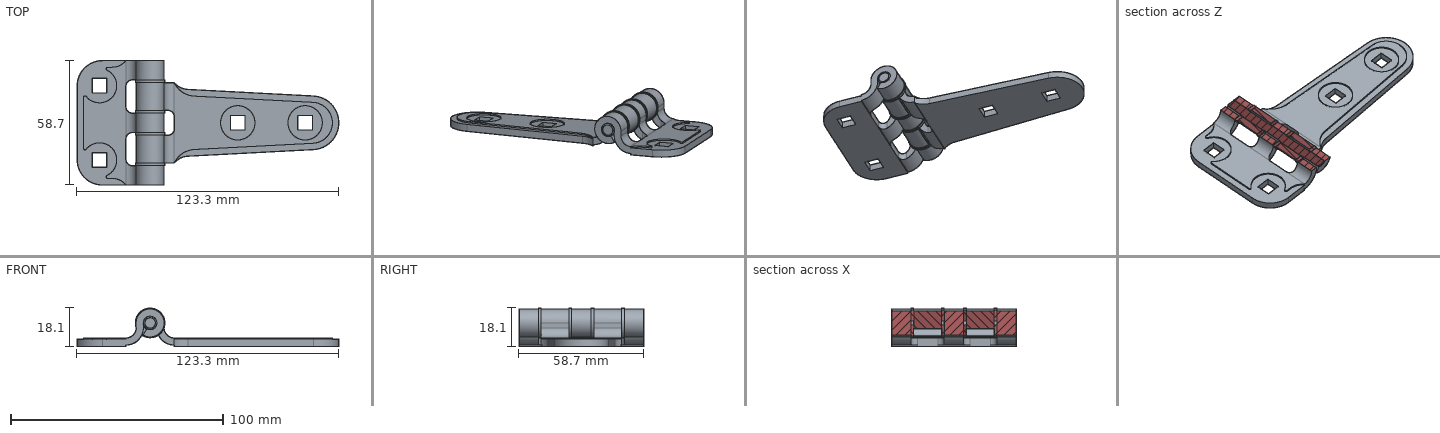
import cadquery as cq
import math


PLATE_THICKNESS = 3.43
PAD_HEIGHT = 0.635
PAD_TOP = PLATE_THICKNESS + PAD_HEIGHT
PIN_DIAMETER = 6.35
PIN_EDGE_CHAMFER = 0.7
PIN_RADIUS = PIN_DIAMETER / 2
BARREL_RADIUS = PIN_RADIUS + PLATE_THICKNESS
WASHER_BORE_DIAMETER = 6.6
WASHER_DIAMETER = 13.99
OVERALL_HEIGHT = 18.1
HINGE_HEIGHT = OVERALL_HEIGHT - WASHER_DIAMETER / 2

BEND_INNER_RADIUS = 4.76
BEND_OUTER_RADIUS = BEND_INNER_RADIUS + PLATE_THICKNESS
BEND_CENTER_Z = PAD_TOP + BEND_INNER_RADIUS
BEND_X = BARREL_RADIUS + BEND_INNER_RADIUS
CURL_START_ANGLE = 180
CURL_SWEEP = 300

OVERALL_WIDTH = 58.72
HALF_WIDTH = OVERALL_WIDTH / 2
WASHER_THICKNESS = 1.24
LEAF_KNUCKLE_LENGTH = 9.18
LEAF_MIDDLE_END = LEAF_KNUCKLE_LENGTH / 2
STRAP_INNER_END = LEAF_MIDDLE_END + WASHER_THICKNESS
LEAF_OUTER_START = HALF_WIDTH - LEAF_KNUCKLE_LENGTH
STRAP_OUTER_END = LEAF_OUTER_START - WASHER_THICKNESS
SLOT_CORNER_RADIUS = 3.0

SQUARE_HOLE = 6.75
SEAT_DIAMETER = 16.18
SEAT_RADIUS = SEAT_DIAMETER / 2

LEAF_LENGTH = 23.05
LEAF_END_X = -BEND_X - LEAF_LENGTH
LEAF_CORNER_RADIUS = 12.0
LEAF_HOLE_FROM_END = 10.6
LEAF_HOLE_X = LEAF_END_X + LEAF_HOLE_FROM_END
LEAF_HOLE_Y = 17.5
LEAF_PAD_INSET = 3.1
LEAF_PAD_SIDE_INSET = 3.2
LEAF_PAD_TIP_FROM_END = 13.75
LEAF_PAD_TIP_X = LEAF_END_X + LEAF_PAD_TIP_FROM_END
LEAF_PAD_FLARE_LENGTH = 6.5
LEAF_PAD_TIP_RADIUS = 0.65

OVERALL_LENGTH = 123.34
STRAP_END_X = LEAF_END_X + OVERALL_LENGTH
STRAP_TAPER = 3.0
STRAP_TIP_RADIUS = 12.7
STRAP_FLARE_LENGTH = 6.4
STRAP_PAD_INSET = 3.05
STRAP_PAD_FLARE_LENGTH = 9.4
STRAP_HOLE_SPACING = 31.75
STRAP_HOLE_FROM_END = 15.9
STRAP_OUTER_HOLE_X = STRAP_END_X - STRAP_HOLE_FROM_END
STRAP_HOLES_X = (STRAP_OUTER_HOLE_X - STRAP_HOLE_SPACING, STRAP_OUTER_HOLE_X)


def cylinder(diameter, start_y, length):
    """Cylinder on the hinge axis, from start_y toward +Y."""
    return (
        cq.Workplane("XZ", origin=(0, start_y, HINGE_HEIGHT))
        .circle(diameter / 2)
        .extrude(-length)
    )


def on_barrel(radius, angle):
    """XZ point at a radius and an angle in degrees around the hinge axis."""
    turn = math.radians(angle)
    return radius * math.cos(turn), HINGE_HEIGHT + radius * math.sin(turn)


def rolled_neck(half_width):
    """Bent strip of the leaf: rises from the plate and curls over the pin."""
    diagonal = math.sqrt(0.5)
    upper_bend = (
        -BEND_X + BEND_INNER_RADIUS * diagonal,
        BEND_CENTER_Z - BEND_INNER_RADIUS * diagonal,
    )
    lower_bend = (
        -BEND_X + BEND_OUTER_RADIUS * diagonal,
        BEND_CENTER_Z - BEND_OUTER_RADIUS * diagonal,
    )
    curl_end_angle = CURL_START_ANGLE - CURL_SWEEP
    curl_middle_angle = CURL_START_ANGLE - CURL_SWEEP / 2
    return (
        cq.Workplane("XZ", origin=(0, half_width, 0))
        .moveTo(-BEND_X, PAD_TOP)
        .threePointArc(upper_bend, (-BARREL_RADIUS, BEND_CENTER_Z))
        .lineTo(-BARREL_RADIUS, HINGE_HEIGHT)
        .threePointArc(
            on_barrel(BARREL_RADIUS, curl_middle_angle),
            on_barrel(BARREL_RADIUS, curl_end_angle),
        )
        .lineTo(*on_barrel(PIN_RADIUS, curl_end_angle))
        .threePointArc(
            on_barrel(PIN_RADIUS, curl_middle_angle),
            (-PIN_RADIUS, HINGE_HEIGHT),
        )
        .lineTo(-PIN_RADIUS, BEND_CENTER_Z)
        .threePointArc(lower_bend, (-BEND_X, PAD_HEIGHT))
        .close()
        .extrude(2 * half_width)
    )


def knuckle_slot(start_y, end_y):
    """Cutter that clears the leaf neck between two stations, rounded at the plate."""
    length = BEND_X + 2 * BARREL_RADIUS
    height = HINGE_HEIGHT + 2 * BARREL_RADIUS
    return (
        cq.Workplane("XY")
        .box(length, end_y - start_y, height, centered=False)
        .edges("|Z and <X")
        .fillet(SLOT_CORNER_RADIUS)
        .translate((-BEND_X, start_y, 0))
    )


def square_holes(points):
    """Cutter for square screw holes right through a plate."""
    return cq.Workplane("XY").pushPoints(points).rect(SQUARE_HOLE, SQUARE_HOLE).extrude(PAD_TOP)


def leaf_pad():
    """Raised face of the leaf, cut back around the two screw seats."""
    side_y = HALF_WIDTH - LEAF_PAD_SIDE_INSET
    left_x = LEAF_END_X + LEAF_PAD_INSET
    left_y = LEAF_HOLE_Y - math.sqrt(SEAT_RADIUS**2 - (LEAF_HOLE_X - left_x) ** 2)
    tip_y = LEAF_HOLE_Y + math.sqrt(SEAT_RADIUS**2 - (LEAF_PAD_TIP_X - LEAF_HOLE_X) ** 2)
    half = (
        cq.Workplane("XY", origin=(0, 0, PLATE_THICKNESS))
        .moveTo(-BEND_X, 0)
        .lineTo(left_x, 0)
        .lineTo(left_x, left_y)
        .threePointArc((LEAF_HOLE_X + SEAT_RADIUS, LEAF_HOLE_Y), (LEAF_PAD_TIP_X, tip_y))
        .lineTo(LEAF_PAD_TIP_X, side_y)
        .lineTo(-BEND_X - LEAF_PAD_FLARE_LENGTH, side_y)
        .tangentArcPoint((-BEND_X, HALF_WIDTH), relative=False)
        .close()
        .extrude(PAD_HEIGHT)
    )
    tips = cq.selectors.BoxSelector(
        (left_x - LEAF_PAD_TIP_RADIUS, left_y - LEAF_PAD_TIP_RADIUS, 0),
        (LEAF_PAD_TIP_X + LEAF_PAD_TIP_RADIUS, HALF_WIDTH, PAD_TOP),
    )
    half = half.edges("|Z").edges(tips).fillet(LEAF_PAD_TIP_RADIUS)
    return half.union(half.mirror("XZ"))


def make_leaf():
    """Short leaf with two screw holes and three knuckles."""
    plate = (
        cq.Workplane("XY")
        .box(LEAF_LENGTH, 2 * HALF_WIDTH, PLATE_THICKNESS, centered=(False, True, False))
        .translate((LEAF_END_X, 0, 0))
        .edges("|Z and <X")
        .fillet(LEAF_CORNER_RADIUS)
    )
    neck = rolled_neck(HALF_WIDTH)
    neck = neck.cut(knuckle_slot(LEAF_MIDDLE_END, LEAF_OUTER_START))
    neck = neck.cut(knuckle_slot(-LEAF_OUTER_START, -LEAF_MIDDLE_END))
    holes = square_holes([(LEAF_HOLE_X, side * LEAF_HOLE_Y) for side in (-1, 1)])
    return plate.union(leaf_pad()).union(neck).cut(holes)


def strap_outline(inset, flare_length, base_z, height):
    """Tapered tongue with a round tip, flared out to the neck width at the bend line."""
    taper = math.radians(STRAP_TAPER)
    radius = STRAP_TIP_RADIUS - inset
    center_x = STRAP_END_X - STRAP_TIP_RADIUS
    tip_x = center_x + radius * math.sin(taper)
    tip_y = radius * math.cos(taper)
    flare_x = BEND_X + flare_length
    flare_y = tip_y + (tip_x - flare_x) * math.tan(taper)
    toward_neck = cq.Vector(-math.cos(taper), math.sin(taper), 0)
    flare_start = cq.Vector(flare_x, flare_y, 0)
    flare = cq.Edge.makeTangentArc(flare_start, toward_neck, cq.Vector(BEND_X, STRAP_OUTER_END, 0))
    flare_middle = flare.positionAt(0.5)
    return (
        cq.Workplane("XY", origin=(0, 0, base_z))
        .moveTo(BEND_X, -STRAP_OUTER_END)
        .threePointArc((flare_middle.x, -flare_middle.y), (flare_x, -flare_y))
        .lineTo(tip_x, -tip_y)
        .threePointArc((center_x + radius, 0), (tip_x, tip_y))
        .lineTo(flare_x, flare_y)
        .threePointArc((flare_middle.x, flare_middle.y), (BEND_X, STRAP_OUTER_END))
        .close()
        .extrude(height)
    )


def make_strap():
    """Long tapered strap with two screw holes and two knuckles."""
    hole_points = [(x, 0) for x in STRAP_HOLES_X]
    plate = strap_outline(0, STRAP_FLARE_LENGTH, 0, PLATE_THICKNESS)
    pad = strap_outline(STRAP_PAD_INSET, STRAP_PAD_FLARE_LENGTH, PLATE_THICKNESS, PAD_HEIGHT)
    seats = (
        cq.Workplane("XY", origin=(0, 0, PLATE_THICKNESS))
        .pushPoints(hole_points)
        .circle(SEAT_RADIUS)
        .extrude(PAD_HEIGHT)
    )
    neck = rolled_neck(STRAP_OUTER_END)
    neck = neck.cut(knuckle_slot(-STRAP_INNER_END, STRAP_INNER_END)).mirror("YZ")
    return plate.union(pad.cut(seats)).union(neck).cut(square_holes(hole_points))


def make_pin():
    """Full-width hinge pin with chamfered ends."""
    pin = cylinder(PIN_DIAMETER, -HALF_WIDTH, 2 * HALF_WIDTH)
    return pin.faces("<Y or >Y").chamfer(PIN_EDGE_CHAMFER)


def make_washer(start_y):
    """Spacer ring between a leaf knuckle and a strap knuckle."""
    blank = cylinder(WASHER_DIAMETER, start_y, WASHER_THICKNESS)
    return blank.cut(cylinder(WASHER_BORE_DIAMETER, start_y, WASHER_THICKNESS))


leaf = make_leaf()
strap = make_strap()
pin = make_pin()
washer_starts = (-LEAF_OUTER_START, -STRAP_INNER_END, LEAF_MIDDLE_END, STRAP_OUTER_END)
washers = [make_washer(start_y) for start_y in washer_starts]

result = cq.Compound.makeCompound(
    [leaf.val(), strap.val(), pin.val()] + [washer.val() for washer in washers]
)